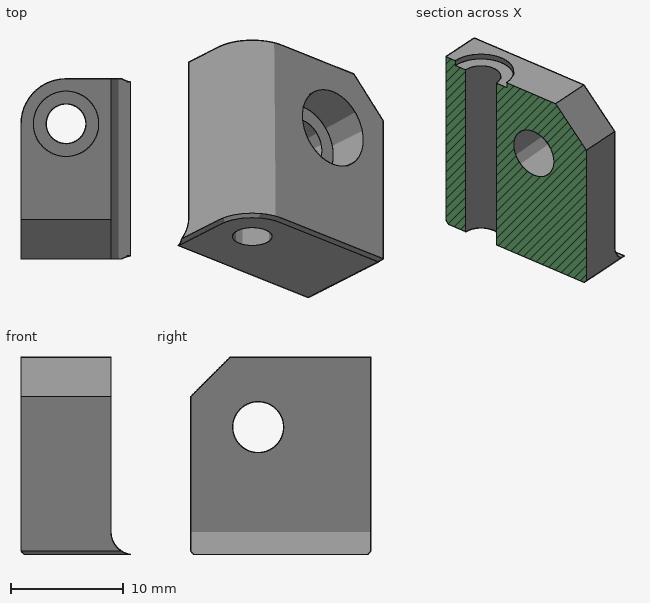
import cadquery as cq

body_width = 8.0
body_length = 16.0
body_height = 17.5
foot_radius = 2.0
corner_radius = body_width / 2
base_chamfer = 0.3
top_chamfer = 3.5

screw_diameter = 3.5
screw_recess_diameter = 5.8
screw_recess_depth = 0.5
screw_x = corner_radius
screw_y = body_length - corner_radius

cross_diameter = 4.5
cross_bore_diameter = 7.2
cross_bore_depth = 4.0
cross_y = 6.0
cross_z = 11.3

foot_width = body_width + foot_radius


def make_envelope():
    """Block over the full foot width, with its rounded corner and chamfered edges."""
    block = cq.Workplane("XY").box(foot_width, body_length, body_height, centered=False)
    block = block.edges("|Z and <X and >Y").fillet(corner_radius)
    block = block.faces("<Z").chamfer(base_chamfer)
    return block.edges("|X and >Z and <Y").chamfer(top_chamfer)


def make_foot_profile():
    """Upright body whose +X side flares into the concave foot, extruded along Y."""
    foot_tip = (foot_width, 0)
    return (
        cq.Workplane("XZ")
        .lineTo(0, body_height)
        .lineTo(body_width, body_height)
        .lineTo(body_width, foot_radius)
        .radiusArc(foot_tip, -foot_radius)
        .close()
        .extrude(-body_length)
    )


def cut_screw_hole(part):
    """Through hole with a shallow round recess in the top face."""
    return (
        part.faces(">Z")
        .workplane(origin=(screw_x, screw_y, body_height))
        .cboreHole(screw_diameter, screw_recess_diameter, screw_recess_depth)
    )


def cut_cross_hole(part):
    """Through hole with a deep counterbore in the -X face."""
    return (
        part.faces("<X")
        .workplane(origin=(0, cross_y, cross_z))
        .cboreHole(cross_diameter, cross_bore_diameter, cross_bore_depth)
    )


result = make_envelope().intersect(make_foot_profile())
result = cut_screw_hole(result)
result = cut_cross_hole(result)